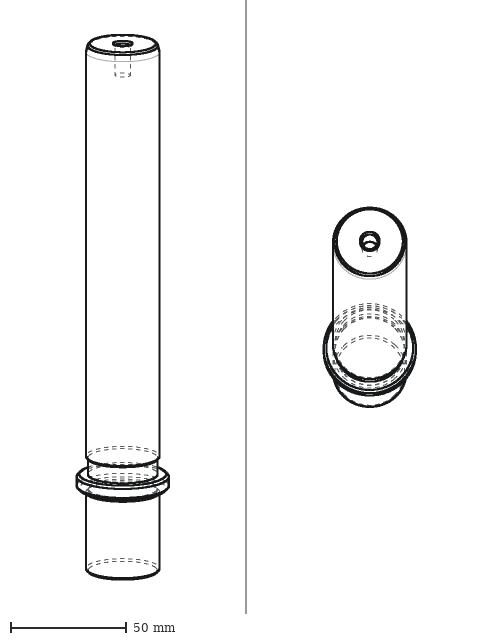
import cadquery as cq

length = 237.0
shaft_radius = 16.0
flange_radius = 20.03
neck_radius = 15.2

flange_bottom = 37.0
flange_thickness = 6.5
neck_length = 8.0
flange_top = flange_bottom + flange_thickness
neck_top = flange_top + neck_length

edge_chamfer = 1.0
flange_chamfer = 1.2
relief_depth = 1.0
relief_width = 0.7
lead_in_length = 2.8
lead_in_depth = 0.7
tip_chamfer = 1.0

hole_radius = 3.3
hole_depth = 14.2
countersink = 1.0


def shaft_body():
    """Revolve the half profile of the stepped pin about the Z axis."""
    relief_radius = shaft_radius - relief_depth
    lead_in_radius = shaft_radius - lead_in_depth
    lead_in_top = length - tip_chamfer
    relief_bottom = flange_bottom - relief_width
    profile = [
        (0, 0),
        (shaft_radius - edge_chamfer, 0),
        (shaft_radius, edge_chamfer),
        (shaft_radius, relief_bottom - relief_depth),
        (relief_radius, relief_bottom),
        (relief_radius, flange_bottom),
        (flange_radius - flange_chamfer, flange_bottom),
        (flange_radius, flange_bottom + flange_chamfer),
        (flange_radius, flange_top - flange_chamfer),
        (flange_radius - flange_chamfer, flange_top),
        (neck_radius, flange_top),
        (neck_radius, neck_top - (shaft_radius - neck_radius)),
        (shaft_radius, neck_top),
        (shaft_radius, lead_in_top - lead_in_length),
        (lead_in_radius, lead_in_top),
        (lead_in_radius - tip_chamfer, length),
        (0, length),
    ]
    return cq.Workplane("XZ").polyline(profile).close().revolve(360, (0, 0), (0, 1))


def centre_hole():
    """Blind flat-bottomed hole with a countersunk mouth."""
    profile = [
        (0, length),
        (hole_radius + countersink, length),
        (hole_radius, length - countersink),
        (hole_radius, length - hole_depth),
        (0, length - hole_depth),
    ]
    return cq.Workplane("XZ").polyline(profile).close().revolve(360, (0, 0), (0, 1))


result = shaft_body().cut(centre_hole())